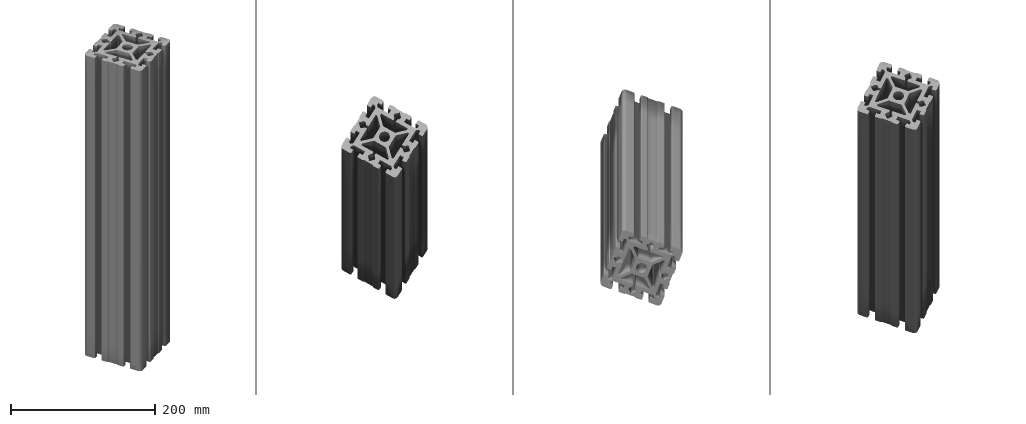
import cadquery as cq

side = 90.0
length = 500.0
half_side = side / 2
corner_radius = 5.0

slot_pitch = side / 2
slot_center = slot_pitch / 2
slot_opening = 10.0
slot_inner_width = 20.5
lip_thickness = 6.5
slot_floor = 32.5
slot_corner_chamfer = 2.5
lip_radius = 1.25

groove_depth = 1.0
groove_floor_half = 7.0
groove_mouth_half = 8.0

channel_center = 35.0
channel_half = 6.5
channel_radius = 2.5
gap_half = 2.0

chamber_out = 27.0
chamber_half_width = 21.5
core_half = 12.5
web_thickness = 4.0
bore_radius = 7.5


def prism(points):
    """Full-length solid over a closed outline of (across, out) points."""
    return cq.Workplane("XY").polyline(points).close().extrude(length)


def bar(across_min, across_max, out_min, out_max):
    """Full-length rectangular bar."""
    return prism([
        (across_min, out_min),
        (across_max, out_min),
        (across_max, out_max),
        (across_min, out_max),
    ])


def make_blank():
    """Square bar with rounded corners."""
    return cq.Workplane("XY").rect(side, side).extrude(length).edges("|Z").fillet(corner_radius)


def make_lip_rounding(edge, direction):
    """Waste between a sharp slot lip at `edge` and its rounded form; `direction` points into the metal."""
    tangent = edge + direction * lip_radius
    waste = bar(min(edge, tangent), max(edge, tangent), half_side - lip_radius, half_side)
    rounding = (
        cq.Workplane("XY")
        .center(tangent, half_side - lip_radius)
        .circle(lip_radius)
        .extrude(length)
    )
    return waste.cut(rounding)


def make_slot(center):
    """T-slot with rounded lips; its chamfered floor corner leaves a link out to the corner of the bar."""
    left = center - slot_opening / 2
    right = center + slot_opening / 2
    inner_left = center - slot_inner_width / 2
    inner_right = center + slot_inner_width / 2
    mouth = bar(left, right, slot_floor, half_side)
    channel = bar(inner_left, inner_right, slot_floor, half_side - lip_thickness)
    outer_corner = "<X" if center < 0 else ">X"
    channel = channel.edges("|Z").edges(outer_corner).edges("<Y").chamfer(slot_corner_chamfer)
    return mouth.union(channel).union(make_lip_rounding(left, -1)).union(make_lip_rounding(right, 1))


def make_groove():
    """Shallow groove with sloping flanks."""
    floor = half_side - groove_depth
    return prism([
        (-groove_mouth_half, half_side),
        (-groove_floor_half, floor),
        (groove_floor_half, floor),
        (groove_mouth_half, half_side),
    ])


def make_screw_channel():
    """Diamond channel with rounded sides and the gap that leads to the chamber."""
    diamond = prism([
        (0, channel_center + channel_half),
        (channel_half, channel_center),
        (0, channel_center - channel_half),
        (-channel_half, channel_center),
    ])
    diamond = diamond.edges("|Z and (<X or >X)").fillet(channel_radius)
    return diamond.union(bar(-gap_half, gap_half, chamber_out, channel_center))


def make_chamber():
    """Chamber between the core, two diagonal webs and the wall behind the slots."""
    web_offset = web_thickness / 2 * 2 ** 0.5
    inner_half_width = core_half - web_offset
    web_end = chamber_half_width + web_offset
    return prism([
        (-inner_half_width, core_half),
        (inner_half_width, core_half),
        (chamber_half_width, web_end),
        (chamber_half_width, chamber_out),
        (-chamber_half_width, chamber_out),
        (-chamber_half_width, web_end),
    ])


side_cutters = [
    make_slot(-slot_center),
    make_slot(slot_center),
    make_groove(),
    make_screw_channel(),
    make_chamber(),
]

result = make_blank()
for angle in (0, 90, 180, 270):
    for cutter in side_cutters:
        result = result.cut(cutter.rotate((0, 0, 0), (0, 0, 1), angle))

bore = cq.Workplane("XY").circle(bore_radius).extrude(length)
result = result.cut(bore)